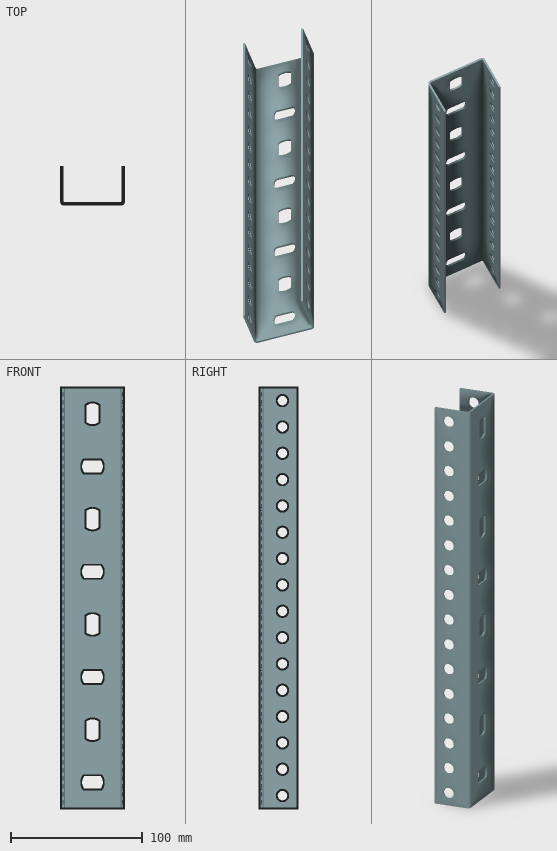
import cadquery as cq

width = 48.0
depth = 29.0
length = 320.0
thickness = 1.5
inner_bend_radius = 1.0
outer_bend_radius = inner_bend_radius + thickness

hole_diameter = 8.5
hole_pitch = 20.0
hole_count = round(length / hole_pitch)
hole_edge_distance = 11.5

slot_length = 17.0
slot_width = 10.5
slot_pitch = 40.0
slot_count = round(length / slot_pitch)


def centred_row(count, pitch):
    """Heights of evenly spaced features, half a pitch in from each end."""
    return [pitch * (i + 0.5) for i in range(count)]


def make_channel():
    """Folded U section: web along the XZ plane, flanges pointing toward +Y."""
    outer = (
        cq.Workplane("XY")
        .box(width, depth, length, centered=(True, False, False))
        .edges("|Z and <Y")
        .fillet(outer_bend_radius)
    )
    cavity = (
        cq.Workplane("XY")
        .box(width - 2 * thickness, depth, length, centered=(True, False, False))
        .edges("|Z and <Y")
        .fillet(inner_bend_radius)
        .translate((0, thickness, 0))
    )
    return outer.cut(cavity)


def make_flange_holes():
    """Row of cylinders along X that pierce both flanges."""
    hole_y = depth - hole_edge_distance
    centres = [(hole_y, z) for z in centred_row(hole_count, hole_pitch)]
    return (
        cq.Workplane("YZ")
        .pushPoints(centres)
        .circle(hole_diameter / 2)
        .extrude(width / 2, both=True)
    )


def make_slot_cutter(height, upright):
    """Round-ended slot through the web, long axis along Z when upright, else along X."""
    size_x, size_z = (slot_width, slot_length) if upright else (slot_length, slot_width)
    disc = cq.Workplane("XZ").circle(slot_length / 2).extrude(-thickness)
    block = cq.Workplane("XZ").rect(size_x, size_z).extrude(-thickness)
    return disc.intersect(block).translate((0, 0, height))


result = make_channel().cut(make_flange_holes())

for index, height in enumerate(centred_row(slot_count, slot_pitch)):
    result = result.cut(make_slot_cutter(height, upright=index % 2 == 1))